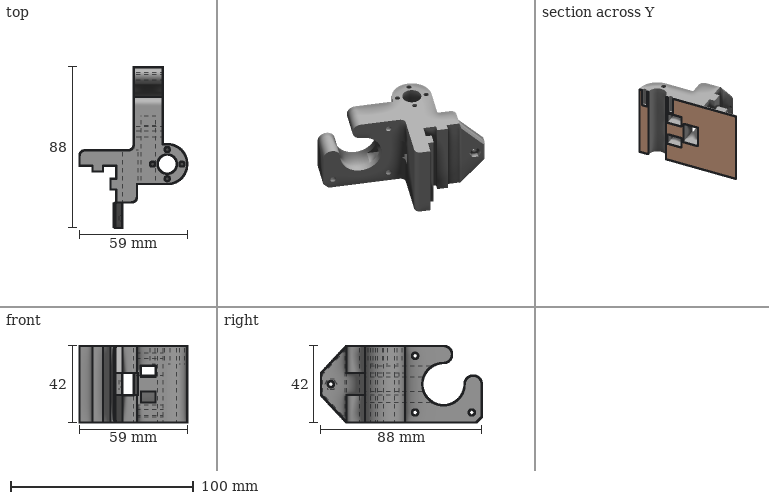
import cadquery as cq
import math

HEIGHT = 42.0
MID_Z = HEIGHT / 2
DEPTH = 88.0
CORNER_RADIUS = 3.0

EXTRUSION_FACE = 20.1
LEG_END_Y = 14.0
INNER_Y = LEG_END_Y + EXTRUSION_FACE
BACK_WALL = 8.5
LEG_THICKNESS = 11.4
BACK_Y = INNER_Y + BACK_WALL
LEG_RIGHT_X = EXTRUSION_FACE + LEG_THICKNESS
KEY_WIDTH = 5.9
KEY_HEIGHT = 3.2

BOSS_X = 48.0
BOSS_Y = 35.0
BOSS_RADIUS = 11.0
ROD_DIAMETER = 10.4
SCREW_DIAMETER = 2.8
SCREW_CIRCLE_RADIUS = 8.0
SCREW_COUNT = 4
SCREW_DEPTH = 10.0

ARM_LEFT_X = 29.6
ARM_WIDTH = 16.0
MOTOR_Y = DEPTH - MID_Z
MOTOR_BORE_RADIUS = 11.5
HOOK_LOBE_RADIUS = (MID_Z - MOTOR_BORE_RADIUS) / 2
MOTOR_HOLE_DIAMETER = 3.2
MOTOR_HOLE_OFFSET = 31.0 / 2
ARM_CHAMFER = 3.0

LUG_LEFT_X = 18.5
LUG_RIGHT_X = 23.5
LUG_TIP_HEIGHT = 12.0
LUG_BEVEL_DEPTH = 1.1
LUG_BEVEL_SCALE = 0.885
LUG_HOLE_Y = 5.4
LUG_HOLE_DIAMETER = 3.2
NUT_CORNER_DIAMETER = 6.5
NUT_DEPTH = 3.0

SLOT_RIGHT_X = 32.0
SLOT_HEIGHT = 12.0
WINDOW_WIDTH = 8.0
WINDOW_HEIGHT = 6.0
WINDOW_SPACING = 14.0


def make_body():
    """Clamp, keys and rod boss as one upright profile."""
    key_start = (EXTRUSION_FACE - KEY_WIDTH) / 2
    key_end = key_start + KEY_WIDTH
    boss_front_y = BOSS_Y - BOSS_RADIUS
    boss_back_y = BOSS_Y + BOSS_RADIUS
    profile = (
        cq.Workplane("XY")
        .moveTo(0, INNER_Y)
        .lineTo(key_start, INNER_Y)
        .lineTo(key_start, INNER_Y - KEY_HEIGHT)
        .lineTo(key_end, INNER_Y - KEY_HEIGHT)
        .lineTo(key_end, INNER_Y)
        .lineTo(EXTRUSION_FACE, INNER_Y)
        .lineTo(EXTRUSION_FACE, INNER_Y - key_start)
        .lineTo(EXTRUSION_FACE - KEY_HEIGHT, INNER_Y - key_start)
        .lineTo(EXTRUSION_FACE - KEY_HEIGHT, INNER_Y - key_end)
        .lineTo(EXTRUSION_FACE, INNER_Y - key_end)
        .lineTo(EXTRUSION_FACE, LEG_END_Y)
        .lineTo(LEG_RIGHT_X - CORNER_RADIUS, LEG_END_Y)
        .radiusArc((LEG_RIGHT_X, LEG_END_Y + CORNER_RADIUS), -CORNER_RADIUS)
        .lineTo(LEG_RIGHT_X, boss_front_y)
        .lineTo(BOSS_X, boss_front_y)
        .threePointArc((BOSS_X + BOSS_RADIUS, BOSS_Y), (BOSS_X, boss_back_y))
        .lineTo(ARM_LEFT_X, boss_back_y)
        .lineTo(ARM_LEFT_X, BACK_Y + CORNER_RADIUS)
        .radiusArc((ARM_LEFT_X - CORNER_RADIUS, BACK_Y), CORNER_RADIUS)
        .lineTo(CORNER_RADIUS, BACK_Y)
        .radiusArc((0, BACK_Y - CORNER_RADIUS), -CORNER_RADIUS)
        .close()
    )
    return profile.extrude(HEIGHT)


def make_arm():
    """Plate with a hook-shaped motor opening; it reaches into the body to its back face."""
    lobe_diameter = 2 * HOOK_LOBE_RADIUS
    low_lobe_y = DEPTH - HOOK_LOBE_RADIUS
    high_lobe_z = HEIGHT - HOOK_LOBE_RADIUS
    bore_diagonal = MOTOR_BORE_RADIUS * math.sqrt(0.5)
    plate = (
        cq.Workplane("YZ", origin=(ARM_LEFT_X, 0, 0))
        .moveTo(BACK_Y, 0)
        .lineTo(DEPTH - ARM_CHAMFER, 0)
        .lineTo(DEPTH, ARM_CHAMFER)
        .lineTo(DEPTH, MID_Z)
        .threePointArc((low_lobe_y, MID_Z + HOOK_LOBE_RADIUS), (DEPTH - lobe_diameter, MID_Z))
        .threePointArc(
            (MOTOR_Y - bore_diagonal, MID_Z - bore_diagonal),
            (MOTOR_Y, HEIGHT - lobe_diameter),
        )
        .threePointArc((MOTOR_Y + HOOK_LOBE_RADIUS, high_lobe_z), (MOTOR_Y, HEIGHT))
        .lineTo(BACK_Y, HEIGHT)
        .close()
        .extrude(ARM_WIDTH)
    )
    low_z = MID_Z - MOTOR_HOLE_OFFSET
    high_z = MID_Z + MOTOR_HOLE_OFFSET
    near_y = MOTOR_Y - MOTOR_HOLE_OFFSET
    far_y = MOTOR_Y + MOTOR_HOLE_OFFSET
    holes = (
        cq.Workplane("YZ", origin=(ARM_LEFT_X, 0, 0))
        .pushPoints([(near_y, low_z), (near_y, high_z), (far_y, low_z)])
        .circle(MOTOR_HOLE_DIAMETER / 2)
        .extrude(ARM_WIDTH)
    )
    return plate.cut(holes)


def lug_outline(workplane, scale):
    """Trapezoid narrowing toward the lug tip, scaled about its centre."""
    half_length = scale * LEG_END_Y / 2
    half_root = scale * HEIGHT / 2
    half_tip = scale * LUG_TIP_HEIGHT / 2
    return workplane.polyline([
        (half_length, -half_root),
        (half_length, half_root),
        (-half_length, half_tip),
        (-half_length, -half_tip),
    ]).close()


def make_lug():
    """Trapezoidal tab with a bevelled -X face, a screw hole and a nut trap."""
    centre_y = LEG_END_Y / 2
    bevel_x = LUG_LEFT_X + LUG_BEVEL_DEPTH
    base_plane = cq.Workplane("YZ", origin=(bevel_x, centre_y, MID_Z))
    plate = lug_outline(base_plane, 1.0).extrude(LUG_RIGHT_X - bevel_x)
    bevel = lug_outline(
        lug_outline(base_plane, 1.0).workplane(offset=-LUG_BEVEL_DEPTH),
        LUG_BEVEL_SCALE,
    ).loft(ruled=True)
    hole_plane = cq.Workplane("YZ", origin=(LUG_LEFT_X, LUG_HOLE_Y, MID_Z))
    hole = hole_plane.circle(LUG_HOLE_DIAMETER / 2).extrude(LUG_RIGHT_X - LUG_LEFT_X)
    nut_trap = hole_plane.polygon(6, NUT_CORNER_DIAMETER).extrude(NUT_DEPTH)
    return plate.union(bevel).cut(hole).cut(nut_trap)


def make_rod_holes():
    """Through bore for the rod and four blind screw holes around it in the top face."""
    bore = cq.Workplane("XY").center(BOSS_X, BOSS_Y).circle(ROD_DIAMETER / 2).extrude(HEIGHT)
    screws = (
        cq.Workplane("XY", origin=(BOSS_X, BOSS_Y, HEIGHT))
        .polarArray(SCREW_CIRCLE_RADIUS, 0, 360, SCREW_COUNT)
        .circle(SCREW_DIAMETER / 2)
        .extrude(-SCREW_DEPTH)
    )
    return bore.union(screws)


def make_slot():
    """Opening through the leg, from its free end to the back of the clamp."""
    back_y = BACK_Y + CORNER_RADIUS
    return cq.Workplane("XY").box(
        SLOT_RIGHT_X - LUG_RIGHT_X, back_y - LEG_END_Y, SLOT_HEIGHT, centered=(False, False, True)
    ).translate((LUG_RIGHT_X, LEG_END_Y, MID_Z))


def make_windows():
    """Two rectangular openings from the front of the boss into the motor opening."""
    return (
        cq.Workplane("XZ", origin=(ARM_LEFT_X + ARM_WIDTH / 2, 0, MID_Z))
        .rarray(1, WINDOW_SPACING, 1, 2)
        .rect(WINDOW_WIDTH, WINDOW_HEIGHT)
        .extrude(-MOTOR_Y)
    )


result = (
    make_body()
    .cut(make_slot())
    .union(make_arm())
    .union(make_lug())
    .cut(make_rod_holes())
    .cut(make_windows())
)